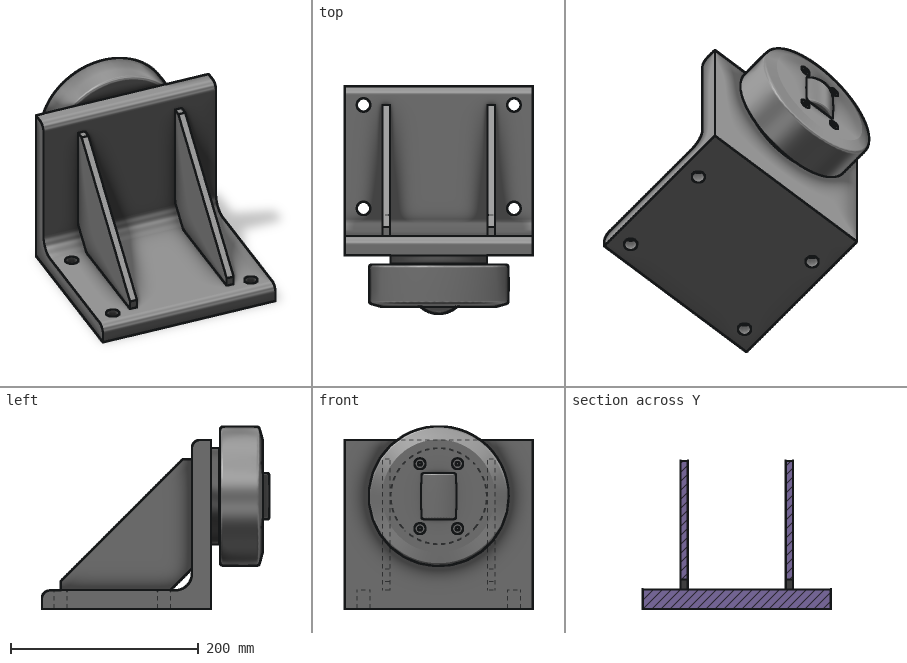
import cadquery as cq
import math

BRACKET_WIDTH = 200.0
BRACKET_LENGTH = 180.0
BRACKET_HEIGHT = 180.0
BASE_THICKNESS = 20.0
WALL_THICKNESS = 20.5
TIP_RADIUS = 9.0
INNER_CORNER_RADIUS = 17.5

BOLT_HOLE_DIAMETER = 14.0
BOLT_HALF_SPACING = 80.0
BOLT_ROWS_Y = (50.0, 160.0)

GUSSET_THICKNESS = 8.0
GUSSET_OUTER_X = 60.0
GUSSET_REACH = 160.0
GUSSET_EDGE_HEIGHT = 9.5
GUSSET_TOP_DEPTH = 9.5
GUSSET_RELIEF = 22.5

AXIS_HEIGHT = 120.0
HUB_DIAMETER = 103.0
HUB_END_DIAMETER = 101.4
HUB_LENGTH = 9.5
ROLLER_DIAMETER = 149.0
ROLLER_FRONT = 55.0
FRONT_FACE_DIAMETER = 120.0
FRONT_CONE_ANGLE = 15.0
ROLLER_EDGE_RADIUS = 3.5
CROWN_RADIUS = 500.0

SIDE_ROLLER_FRONT = 62.5
SIDE_ROLLER_DIAMETER = 56.0
SIDE_ROLLER_LENGTH = 49.5
SIDE_ROLLER_EDGE_RADIUS = 2.5

SCREW_HALF_SPACING_X = 20.0
SCREW_HALF_SPACING_Z = 34.5
SCREW_HEAD_DIAMETER = 11.7
SCREW_HEAD_SINK = 0.2
SCREW_SOCKET_DIAMETER = 4.0
SCREW_SOCKET_DEPTH = 2.0


def crown_drop(distance):
    """Loss of radius of a crowned surface at a distance from its middle."""
    return CROWN_RADIUS - math.sqrt(CROWN_RADIUS**2 - distance**2)


def make_bracket():
    profile = (
        cq.Workplane("YZ")
        .polyline(
            [
                (0, 0),
                (BRACKET_LENGTH, 0),
                (BRACKET_LENGTH, BASE_THICKNESS),
                (WALL_THICKNESS, BASE_THICKNESS),
                (WALL_THICKNESS, BRACKET_HEIGHT),
                (0, BRACKET_HEIGHT),
            ]
        )
        .close()
    )
    bracket = profile.extrude(BRACKET_WIDTH / 2, both=True)
    inner_corner = cq.selectors.NearestToPointSelector((0, WALL_THICKNESS, BASE_THICKNESS))
    base_tip = cq.selectors.NearestToPointSelector((0, BRACKET_LENGTH, BASE_THICKNESS))
    wall_tip = cq.selectors.NearestToPointSelector((0, WALL_THICKNESS, BRACKET_HEIGHT))
    bracket = bracket.edges(inner_corner).fillet(INNER_CORNER_RADIUS)
    bracket = bracket.edges(base_tip).fillet(TIP_RADIUS)
    bracket = bracket.edges(wall_tip).fillet(TIP_RADIUS)

    hole_centers = [(side * BOLT_HALF_SPACING, y) for side in (-1, 1) for y in BOLT_ROWS_Y]
    holes = (
        cq.Workplane("XY")
        .pushPoints(hole_centers)
        .circle(BOLT_HOLE_DIAMETER / 2)
        .extrude(BASE_THICKNESS)
    )
    return bracket.cut(holes)


def make_gusset(start_x):
    """Rib with a sloping back and a cut corner that clears the inner fillet."""
    edge_top = BASE_THICKNESS + GUSSET_EDGE_HEIGHT
    slope_start = WALL_THICKNESS + GUSSET_TOP_DEPTH
    gusset_top = edge_top + GUSSET_REACH - slope_start
    return (
        cq.Workplane("YZ", origin=(start_x, 0, 0))
        .polyline(
            [
                (WALL_THICKNESS + GUSSET_RELIEF, BASE_THICKNESS),
                (GUSSET_REACH, BASE_THICKNESS),
                (GUSSET_REACH, edge_top),
                (slope_start, gusset_top),
                (WALL_THICKNESS, gusset_top),
                (WALL_THICKNESS, BASE_THICKNESS + GUSSET_RELIEF),
            ]
        )
        .close()
        .extrude(GUSSET_THICKNESS)
    )


def revolve_about_y(profile):
    """Turn an XY profile about the Y axis and lift it to the roller axis."""
    return profile.close().revolve(360, (0, 0), (0, 1)).translate((0, 0, AXIS_HEIGHT))


def make_hub():
    """Round hub, chamfered where it meets the roller."""
    radius = HUB_DIAMETER / 2
    end_radius = HUB_END_DIAMETER / 2
    chamfer_start = HUB_LENGTH - (radius - end_radius)
    return revolve_about_y(
        cq.Workplane("XY")
        .moveTo(0, 0)
        .lineTo(radius, 0)
        .lineTo(radius, -chamfer_start)
        .lineTo(end_radius, -HUB_LENGTH)
        .lineTo(0, -HUB_LENGTH)
    )


def make_main_roller():
    """Crowned roller with rounded edges and a conical front."""
    radius = ROLLER_DIAMETER / 2
    face_radius = FRONT_FACE_DIAMETER / 2
    cone_depth = (radius - face_radius) * math.tan(math.radians(FRONT_CONE_ANGLE))
    rim_front = ROLLER_FRONT - cone_depth
    rim_middle = (HUB_LENGTH + rim_front) / 2
    rim_radius = radius - crown_drop((rim_front - HUB_LENGTH) / 2)
    roller = revolve_about_y(
        cq.Workplane("XY")
        .moveTo(0, -HUB_LENGTH)
        .lineTo(rim_radius, -HUB_LENGTH)
        .threePointArc((radius, -rim_middle), (rim_radius, -rim_front))
        .lineTo(face_radius, -ROLLER_FRONT)
        .lineTo(0, -ROLLER_FRONT)
    )
    rim_edges = cq.selectors.RadiusNthSelector(1)
    return roller.edges(rim_edges).fillet(ROLLER_EDGE_RADIUS)


def make_side_roller():
    """Crowned roller with rounded ends, only its front rising out of the main roller."""
    radius = SIDE_ROLLER_DIAMETER / 2
    half_length = SIDE_ROLLER_LENGTH / 2
    end_radius = radius - crown_drop(half_length)
    roller = (
        cq.Workplane("XZ")
        .moveTo(0, -half_length)
        .lineTo(end_radius, -half_length)
        .threePointArc((radius, 0), (end_radius, half_length))
        .lineTo(0, half_length)
        .close()
        .revolve(360, (0, 0), (0, 1))
    )
    end_edges = cq.selectors.RadiusNthSelector(0)
    roller = roller.edges(end_edges).fillet(SIDE_ROLLER_EDGE_RADIUS)
    roller = roller.translate((0, radius - SIDE_ROLLER_FRONT, AXIS_HEIGHT))
    depth_kept = SIDE_ROLLER_FRONT - HUB_LENGTH
    keep = cq.Workplane("XY").box(SIDE_ROLLER_DIAMETER, depth_kept, SIDE_ROLLER_LENGTH)
    return roller.intersect(keep.translate((0, -HUB_LENGTH - depth_kept / 2, AXIS_HEIGHT)))


def make_screw_recesses():
    """Slightly sunk round screw heads, each with a small socket."""
    centers = [
        (x * SCREW_HALF_SPACING_X, z * SCREW_HALF_SPACING_Z) for x in (-1, 1) for z in (-1, 1)
    ]
    face = cq.Workplane("XZ", origin=(0, -ROLLER_FRONT, AXIS_HEIGHT)).pushPoints(centers)
    heads = face.circle(SCREW_HEAD_DIAMETER / 2).extrude(-SCREW_HEAD_SINK)
    sockets = face.circle(SCREW_SOCKET_DIAMETER / 2).extrude(-SCREW_SOCKET_DEPTH)
    return heads.union(sockets)


result = make_bracket()
for gusset_start in (-GUSSET_OUTER_X, GUSSET_OUTER_X - GUSSET_THICKNESS):
    result = result.union(make_gusset(gusset_start))
result = result.union(make_hub()).union(make_main_roller())
result = result.cut(make_screw_recesses()).union(make_side_roller())